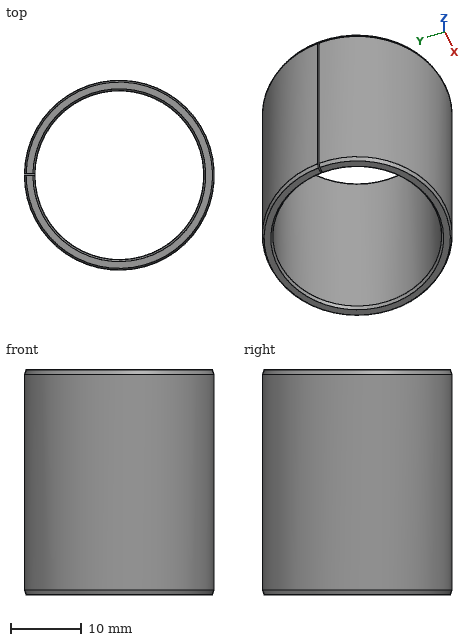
import cadquery as cq

length = 32.0
outer_diameter = 27.0
bore_diameter = 24.0
outer_chamfer_height = 0.7
outer_chamfer_depth = 0.25
bore_chamfer_height = 0.5
bore_chamfer_depth = 0.3
split_angle = 1.0

outer_radius = outer_diameter / 2
bore_radius = bore_diameter / 2
half_length = length / 2


def split_sleeve():
    """Revolve the wall section, chamfered at both ends inside and out, leaving a narrow split on -X."""
    outer_end_radius = outer_radius - outer_chamfer_depth
    bore_end_radius = bore_radius + bore_chamfer_depth
    outer_edge_z = half_length - outer_chamfer_height
    bore_edge_z = half_length - bore_chamfer_height
    wall = [
        (bore_end_radius, -half_length),
        (outer_end_radius, -half_length),
        (outer_radius, -outer_edge_z),
        (outer_radius, outer_edge_z),
        (outer_end_radius, half_length),
        (bore_end_radius, half_length),
        (bore_radius, bore_edge_z),
        (bore_radius, -bore_edge_z),
    ]
    sleeve = cq.Workplane("XZ").polyline(wall).close().revolve(360 - split_angle, (0, 0), (0, 1))
    return sleeve.rotate((0, 0, 0), (0, 0, 1), 180)


result = split_sleeve()